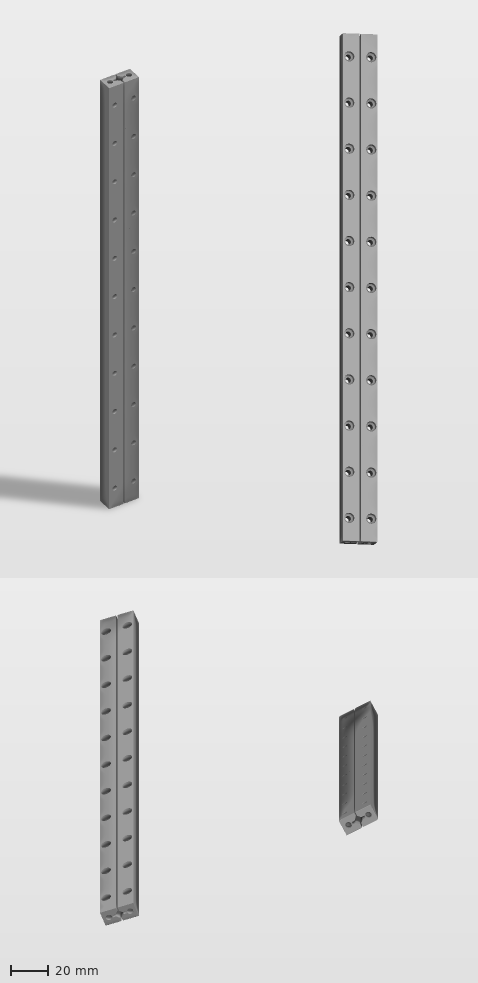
import cadquery as cq

LENGTH = 275.0
PAIR_WIDTH = 19.0
THICKNESS = 9.0
GAP = 0.75
RAIL_WIDTH = (PAIR_WIDTH - GAP) / 2
END_CHAMFER = 0.1

GROOVE_APEX_Y = 2.8
SLOT_WIDTH = 1.5
SLOT_BOTTOM_Y = 3.8

HOLE_COUNT = 11
HOLE_PITCH = LENGTH / HOLE_COUNT
HOLE_DIAMETER = 3.0
BORE_DIAMETER = 5.5
BORE_DEPTH = 2.8
BORE_EDGE_WALL = 0.75
HOLE_Y = PAIR_WIDTH / 2 - BORE_EDGE_WALL - BORE_DIAMETER / 2

END_HOLE_RADIUS = 1.7
END_HOLE_DEPTH = 5.5
DRILL_POINT_DEPTH = 1.0


def rail_blank():
    """Plain bar on the +Y side of the gap, chamfered around both end faces."""
    bar = cq.Workplane("XY").box(THICKNESS, RAIL_WIDTH, LENGTH, centered=(True, False, False))
    return bar.translate((0, GAP / 2, 0)).faces("<Z or >Z").chamfer(END_CHAMFER)


def running_groove():
    """Cutter for the V groove and its relief slot, along the whole inner face."""
    corners = [(-GROOVE_APEX_Y, 0), (GROOVE_APEX_Y, 0), (0, GROOVE_APEX_Y)]
    flanks = cq.Workplane("XY").polyline(corners).close().extrude(LENGTH)
    slot = cq.Workplane("XY").box(SLOT_WIDTH, SLOT_BOTTOM_Y, LENGTH, centered=(True, False, False))
    return flanks.union(slot)


def mounting_hole(z):
    """Cutter for a through hole along X with its counterbore on the -X face."""
    face = cq.Workplane("YZ", origin=(-THICKNESS / 2, HOLE_Y, z))
    through = face.circle(HOLE_DIAMETER / 2).extrude(THICKNESS)
    bore = face.circle(BORE_DIAMETER / 2).extrude(BORE_DEPTH)
    return through.union(bore)


def lower_end_hole():
    """Cutter for the blind hole that goes up from the lower end face, in line with the mounting holes."""
    tip = END_HOLE_DEPTH + DRILL_POINT_DEPTH
    half_section = [(0, 0), (END_HOLE_RADIUS, 0), (END_HOLE_RADIUS, END_HOLE_DEPTH), (0, tip)]
    profile = cq.Workplane("XZ").polyline(half_section).close()
    return profile.revolve(360, (0, 0, 0), (0, 1, 0)).translate((0, HOLE_Y, 0))


def rail():
    """Finished rail on the +Y side of the gap."""
    body = rail_blank().cut(running_groove())
    for i in range(HOLE_COUNT):
        body = body.cut(mounting_hole((i + 0.5) * HOLE_PITCH))
    lower = lower_end_hole()
    upper = lower.mirror("XY", (0, 0, LENGTH / 2))
    return body.cut(lower).cut(upper)


rails = []
for mirrored in (False, True):
    body = rail()
    if mirrored:
        body = body.mirror("XZ")
    rails.append(body.val())

result = cq.Compound.makeCompound(rails)